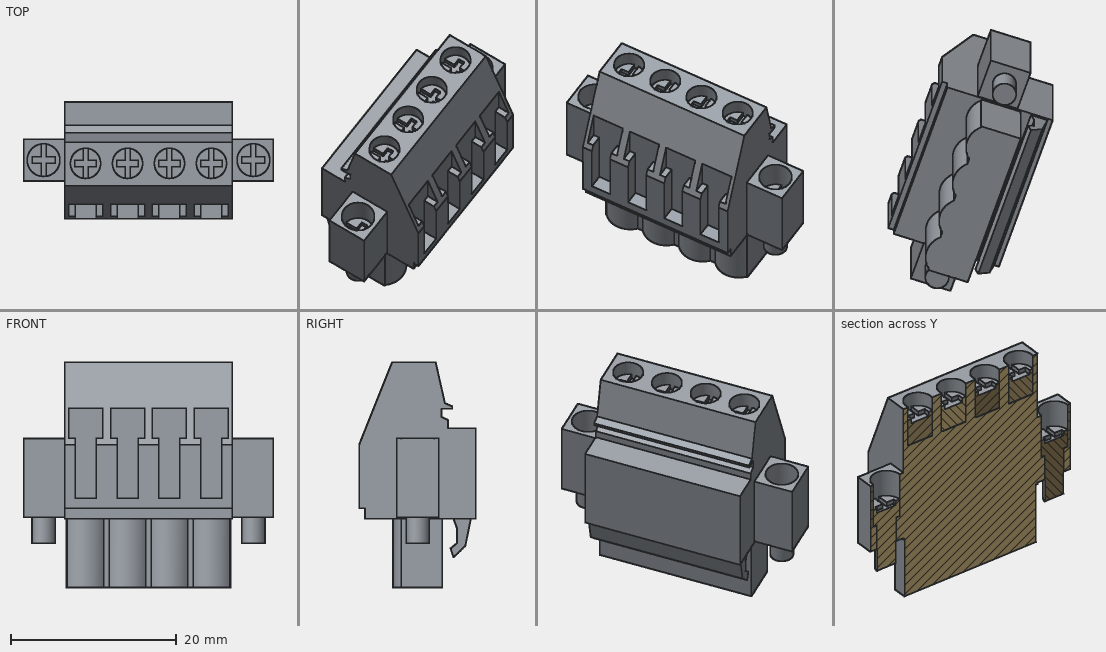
import cadquery as cq


pole_count = 4
pole_pitch = 5.05
pole_positions = [(i - (pole_count - 1) / 2) * pole_pitch for i in range(pole_count)]

overall_width = 30.12
overall_depth = 14.1
overall_height = 27.2

housing_width = pole_count * pole_pitch
housing_base = 8.3
front_step_depth = 0.7
front_step_top = 9.58
slope_base = 17.23
top_front = 3.98
top_rear = 9.25
rear_ledge_top = 19.25
rear_ledge_front = 10.75
lip_root_y = 10.35
lip_root_z = 22.25
lip_tip_y = 11.25
lip_tip_z = 21.87
lip_bottom = 21.57
groove_floor_y = 9.97
groove_floor_bottom = 20.6
groove_bottom = 20.2

flange_depth = 5.05
flange_centre_y = 7.08
flange_bottom = 8.5
flange_top = 18.0
flange_screw_x = (pole_count + 1) / 2 * pole_pitch

entry_depth = 1.75
entry_width = 4.1
entry_top = slope_base + (overall_height - slope_base) * entry_depth / top_front
slot_width = 2.53
slot_bottom = 10.8

plug_width = 19.85
plug_front = 5.05
plug_rear = 10.05
bump_front = 4.07
bump_width = 4.4

latch_rear_y = 13.5
latch_front_y = 11.4
latch_neck_y = 11.8
latch_neck_top = 7.1
latch_neck_bottom = 5.4
latch_tip_y = 11.02
latch_tip_z = 4.73
latch_end_y = 11.4
latch_end_z = 3.65
latch_heel_y = 12.83
latch_heel_z = 5.05

clamp_screw_y = 6.7
clamp_screw_diameter = 3.65
clamp_screw_recess = 1.9
clamp_screw_top = overall_height - clamp_screw_recess
clamp_screw_length = 3.6
flange_head_diameter = 3.95
flange_screw_recess = 3.6
flange_head_top = flange_top - flange_screw_recess
flange_head_height = 2.4
flange_head_bottom = flange_head_top - flange_head_height
flange_shank_diameter = 2.83
flange_shank_bottom = 5.33
drive_depth = 0.6
long_slot_width = 0.6
short_slot_width = 0.78
clamp_short_slot_length = 2.55
flange_short_slot_length = 2.77


def block(x_size, y_range, z_range, x_centre=0):
    """Rectangular block centred on x_centre and filling the given Y and Z ranges."""
    y_start, y_end = y_range
    z_start, z_end = z_range
    return (
        cq.Workplane("XY")
        .box(x_size, y_end - y_start, z_end - z_start, centered=(True, False, False))
        .translate((x_centre, y_start, z_start))
    )


def cylinder(diameter, x, y, z_range):
    """Upright cylinder between two heights."""
    z_start, z_end = z_range
    return (
        cq.Workplane("XY", origin=(x, y, z_start))
        .circle(diameter / 2)
        .extrude(z_end - z_start)
    )


def housing_core():
    """Side profile of the housing, extruded across the row of poles."""
    return (
        cq.Workplane("YZ")
        .moveTo(front_step_depth, housing_base)
        .lineTo(front_step_depth, front_step_top)
        .lineTo(0, front_step_top)
        .lineTo(0, slope_base)
        .lineTo(top_front, overall_height)
        .lineTo(top_rear, overall_height)
        .lineTo(lip_root_y, lip_root_z)
        .lineTo(lip_tip_y, lip_tip_z)
        .lineTo(lip_tip_y, lip_bottom)
        .lineTo(groove_floor_y, lip_bottom)
        .lineTo(groove_floor_y, groove_floor_bottom)
        .lineTo(rear_ledge_front, groove_bottom)
        .lineTo(rear_ledge_front, rear_ledge_top)
        .lineTo(overall_depth, rear_ledge_top)
        .lineTo(overall_depth, housing_base)
        .close()
        .extrude(housing_width / 2, both=True)
    )


def flange_bar():
    """Bar through the housing whose ends form the two flanges."""
    y_range = (flange_centre_y - flange_depth / 2, flange_centre_y + flange_depth / 2)
    return block(overall_width, y_range, (flange_bottom, flange_top))


def wire_entry(x):
    """T-shaped opening: a wide mouth in the slope above a narrow slot."""
    mouth = block(entry_width, (0, entry_depth), (flange_top, entry_top), x)
    slot = block(slot_width, (0, entry_depth), (slot_bottom, flange_top), x)
    return mouth.union(slot)


def plug_block():
    """Block below the housing with an arc-shaped bump in front of each pole."""
    plug = block(plug_width, (plug_front, plug_rear), (0, housing_base))
    for x in pole_positions:
        bump = (
            cq.Workplane("XY")
            .moveTo(x - bump_width / 2, plug_front)
            .threePointArc((x, bump_front), (x + bump_width / 2, plug_front))
            .close()
            .extrude(housing_base)
        )
        plug = plug.union(bump)
    return plug


def latch_hook():
    """Hooked latch hanging from the rear of the housing, as wide as the plug block."""
    outline = [
        (latch_rear_y, housing_base),
        (latch_heel_y, latch_heel_z),
        (latch_end_y, latch_end_z),
        (latch_tip_y, latch_tip_z),
        (latch_neck_y, latch_neck_bottom),
        (latch_neck_y, latch_neck_top),
        (latch_front_y, housing_base),
    ]
    return cq.Workplane("YZ").polyline(outline).close().extrude(plug_width / 2, both=True)


def clamp_screw_hole(x):
    """Blind hole from the top that holds a clamp screw below its rim."""
    z_range = (clamp_screw_top - clamp_screw_length, overall_height)
    return cylinder(clamp_screw_diameter, x, clamp_screw_y, z_range)


def flange_screw_hole(x):
    """Through hole for the shank, counterbored from the top for the head."""
    shank_hole = cylinder(flange_shank_diameter, x, flange_centre_y, (flange_bottom, flange_top))
    head_hole = cylinder(flange_head_diameter, x, flange_centre_y, (flange_head_bottom, flange_top))
    return shank_hole.union(head_hole)


def make_housing():
    housing = housing_core().union(flange_bar()).union(plug_block()).union(latch_hook())
    for x in pole_positions:
        housing = housing.cut(wire_entry(x)).cut(clamp_screw_hole(x))
    for x in (-flange_screw_x, flange_screw_x):
        housing = housing.cut(flange_screw_hole(x))
    return housing


def cross_drive(x, y, top, head_diameter, short_slot_length):
    """Cross recess: a slot along Y over the whole head and a shorter one along X."""
    z_range = (top - drive_depth, top)
    head_radius = head_diameter / 2
    short_half_width = short_slot_width / 2
    long_slot = block(long_slot_width, (y - head_radius, y + head_radius), z_range, x)
    short_slot = block(short_slot_length, (y - short_half_width, y + short_half_width), z_range, x)
    return long_slot.union(short_slot)


def make_clamp_screw(x):
    z_range = (clamp_screw_top - clamp_screw_length, clamp_screw_top)
    screw = cylinder(clamp_screw_diameter, x, clamp_screw_y, z_range)
    drive = cross_drive(x, clamp_screw_y, clamp_screw_top, clamp_screw_diameter, clamp_short_slot_length)
    return screw.cut(drive)


def make_flange_screw(x):
    head = cylinder(flange_head_diameter, x, flange_centre_y, (flange_head_bottom, flange_head_top))
    shank_range = (flange_shank_bottom, flange_head_bottom)
    shank = cylinder(flange_shank_diameter, x, flange_centre_y, shank_range)
    drive = cross_drive(x, flange_centre_y, flange_head_top, flange_head_diameter, flange_short_slot_length)
    return head.union(shank).cut(drive)


housing = make_housing()
clamp_screws = [make_clamp_screw(x) for x in pole_positions]
flange_screws = [make_flange_screw(x) for x in (-flange_screw_x, flange_screw_x)]

result = cq.Compound.makeCompound(
    [housing.val()]
    + [screw.val() for screw in clamp_screws]
    + [screw.val() for screw in flange_screws]
)